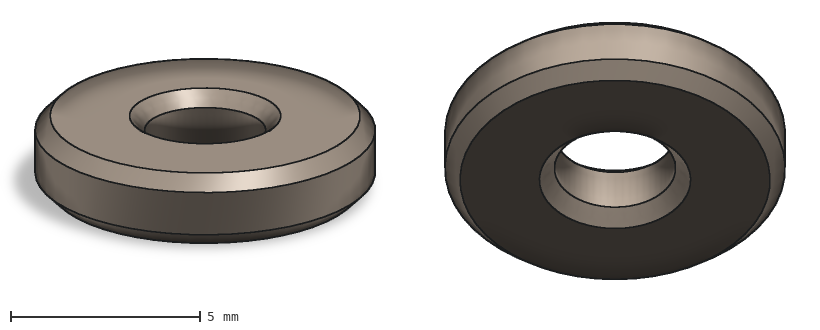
import cadquery as cq

outer_diameter = 9.0
bore_diameter = 3.2
thickness = 2.0
chamfer_size = 0.4


def washer_blank():
    """Flat ring with a through bore, standing on the XY plane."""
    return (
        cq.Workplane("XY")
        .circle(outer_diameter / 2)
        .circle(bore_diameter / 2)
        .extrude(thickness)
    )


def chamfer_rims(ring):
    """Bevel the outer rim and the bore mouth on both flat faces."""
    return ring.faces("|Z").edges().chamfer(chamfer_size)


result = chamfer_rims(washer_blank())